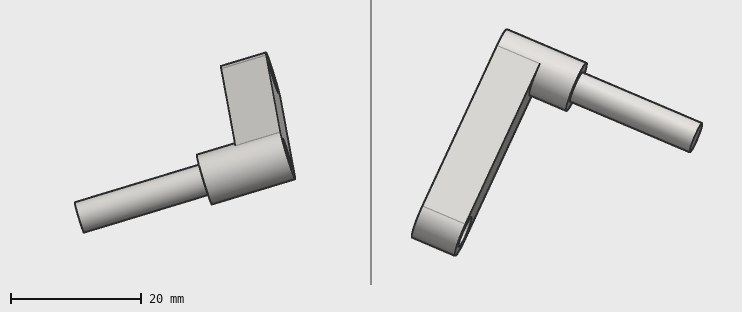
import cadquery as cq
import math

PIN_HEADING = 29.0
PIN_RISE = 12.5
ARM_DIP = 28.9

ARM_SPAN = 28.15
ARM_WIDTH = 8.0
ARM_THICKNESS = 7.2
BOSS_LENGTH = 6.15

PIN_DIAMETER = 4.9
PIN_PROJECTION = 20.0
PIN_LENGTH = PIN_PROJECTION + BOSS_LENGTH + ARM_THICKNESS

HOLE_DIAMETER = 4.98


def crank_plane():
    """Plane of the arm's boss-side face: local x along the arm, normal along the pin axis."""
    heading = math.radians(PIN_HEADING)
    rise = math.radians(PIN_RISE)
    dip = math.radians(ARM_DIP)
    pin_axis = cq.Vector(
        math.cos(rise) * math.cos(heading),
        math.cos(rise) * math.sin(heading),
        math.sin(rise),
    )
    level = cq.Vector(-math.sin(heading), math.cos(heading), 0)
    upward = pin_axis.cross(level)
    arm_axis = level * math.cos(dip) - upward * math.sin(dip)
    return cq.Plane(origin=(0, 0, 0), xDir=arm_axis, normal=pin_axis)


def make_crank(plane):
    """Round-ended arm with a boss, bored for the pin and for the hole at its far end."""
    bar = (
        cq.Workplane(plane)
        .center(ARM_SPAN / 2, 0)
        .rect(ARM_SPAN, ARM_WIDTH)
        .extrude(ARM_THICKNESS)
    )
    far_end = (
        cq.Workplane(plane)
        .center(ARM_SPAN, 0)
        .circle(ARM_WIDTH / 2)
        .extrude(ARM_THICKNESS)
    )
    boss_start = cq.Workplane(plane).workplane(offset=-BOSS_LENGTH)
    boss = boss_start.circle(ARM_WIDTH / 2).extrude(BOSS_LENGTH + ARM_THICKNESS)
    pin_bore = (
        cq.Workplane(plane)
        .workplane(offset=-BOSS_LENGTH)
        .circle(PIN_DIAMETER / 2)
        .extrude(BOSS_LENGTH + ARM_THICKNESS)
    )
    far_hole = (
        cq.Workplane(plane)
        .center(ARM_SPAN, 0)
        .circle(HOLE_DIAMETER / 2)
        .extrude(ARM_THICKNESS)
    )
    return bar.union(far_end).union(boss).cut(pin_bore).cut(far_hole).solids()


def make_pin(plane):
    """Plain round pin filling the crank's bore and standing out of its boss."""
    return (
        cq.Workplane(plane)
        .workplane(offset=ARM_THICKNESS)
        .circle(PIN_DIAMETER / 2)
        .extrude(-PIN_LENGTH)
    )


crank_face = crank_plane()
crank = make_crank(crank_face)
pin = make_pin(crank_face)

result = cq.Compound.makeCompound([crank.val(), pin.val()])